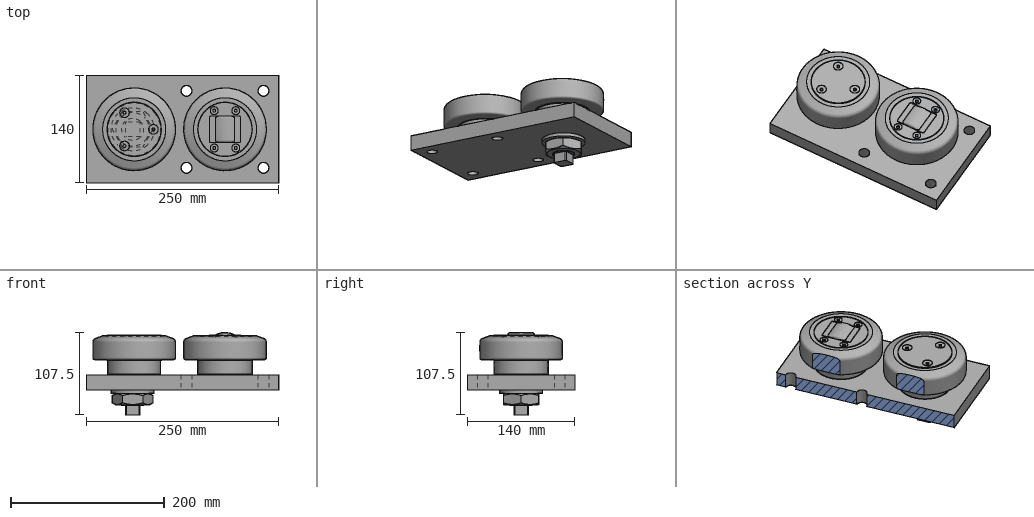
import cadquery as cq
import math

PLATE_LENGTH = 250.0
PLATE_WIDTH = 140.0
PLATE_THICKNESS = 20.0
BOLT_HOLE_DIAMETER = 13.8
BOLT_HOLE_SPACING = 100.0

LEFT_ROLLER_X = -63.0
RIGHT_ROLLER_X = 55.0
ROLLER_BOTTOM = 39.5
ROLLER_TOP = 70.8
RIM_RADIUS = 53.8
RIM_CROWN = 0.12
RIM_BOTTOM_ROUND = 2.5
RIM_TOP_ROUND_START = 62.5
CONE_OUTER_RADIUS = 50.2
CONE_OUTER_Z = 67.2
CONE_INNER_RADIUS = 41.0
LEFT_STEM_DIAMETER = 69.0
RIGHT_STEM_DIAMETER = 71.0
LEFT_SEAL_DIAMETER = 71.0
RIGHT_SEAL_DIAMETER = 70.0
SEAL_HEIGHT = 0.8
FOOT_HEIGHT = 0.8
FOOT_STEP = 0.2

CAP_DIAMETER = 70.0
CAP_SEAT_DIAMETER = 70.5
CAP_GROOVE_DEPTH = 0.8
LEFT_CAP_RISE = 0.8
SOCKET_DIAMETER = 3.8
SOCKET_DEPTH = 1.2
SCREW_SEAT_DEPTH = 0.5
LEFT_SCREW_DIAMETER = 12.5
LEFT_SCREW_COUNT = 3
LEFT_SCREW_CIRCLE_RADIUS = 25.0
RIGHT_SCREW_DIAMETER = 10.2
RIGHT_SCREW_SPACING_X = 28.0
RIGHT_SCREW_SPACING_Y = 48.5

PAD_LENGTH_X = 40.0
PAD_LENGTH_Y = 34.8
PAD_CORNER_RADIUS = 1.8
PAD_TOP = 71.5
DOME_TOP = 75.0
DOME_WIDTH = 25.0
DOME_RADIUS = 26.0
DOME_CROWN = 0.2
DOME_END_ROUND = 3.0

STUD_ECCENTRICITY = 2.0
STUD_X = LEFT_ROLLER_X - STUD_ECCENTRICITY
WASHER_DIAMETER = 56.0
WASHER_THICKNESS = 4.2
NUT_ACROSS_FLATS = 46.0
NUT_BOTTOM = -19.2
NUT_CHAMFER_ANGLE = 30.0
NUT_FACE_DIAMETER = 43.5
THREAD_DIAMETER = 28.5
THREAD_BOTTOM = -20.0
SQUARE_SIZE = 19.0
SQUARE_CHAMFER = 1.2
STUD_BOTTOM = -32.5


def cylinder(x, diameter, bottom, top):
    """Upright cylinder on the plate's centre line."""
    return cq.Workplane("XY", origin=(x, 0, bottom)).circle(diameter / 2).extrude(top - bottom)


def make_plate():
    plate = cq.Workplane("XY").box(
        PLATE_LENGTH, PLATE_WIDTH, PLATE_THICKNESS, centered=(True, True, False)
    )
    holes = (
        cq.Workplane("XY", origin=(RIGHT_ROLLER_X, 0, 0))
        .rect(BOLT_HOLE_SPACING, BOLT_HOLE_SPACING, forConstruction=True)
        .vertices()
        .circle(BOLT_HOLE_DIAMETER / 2)
        .extrude(PLATE_THICKNESS)
    )
    return plate.cut(holes)


def make_roller(x, stem_diameter, seal_diameter):
    """Crowned rim with a coned top shoulder, above a seal, a stem and a slightly narrower foot."""
    stem_bottom = PLATE_THICKNESS + FOOT_HEIGHT
    stem_top = ROLLER_BOTTOM - SEAL_HEIGHT
    bottom_edge = ROLLER_BOTTOM + RIM_BOTTOM_ROUND
    bottom_inset = RIM_BOTTOM_ROUND * (1 - math.sqrt(0.5))
    rim = (
        cq.Workplane("XZ", origin=(x, 0, 0))
        .moveTo(0, ROLLER_BOTTOM)
        .lineTo(RIM_RADIUS - RIM_BOTTOM_ROUND, ROLLER_BOTTOM)
        .threePointArc(
            (RIM_RADIUS - bottom_inset, ROLLER_BOTTOM + bottom_inset),
            (RIM_RADIUS, bottom_edge),
        )
        .threePointArc(
            (RIM_RADIUS + RIM_CROWN, (bottom_edge + RIM_TOP_ROUND_START) / 2),
            (RIM_RADIUS, RIM_TOP_ROUND_START),
        )
        .tangentArcPoint((CONE_OUTER_RADIUS, CONE_OUTER_Z), relative=False)
        .lineTo(CONE_INNER_RADIUS, ROLLER_TOP)
        .lineTo(0, ROLLER_TOP)
        .close()
        .revolve(360, (0, 0, 0), (0, 1, 0))
    )
    foot = cylinder(x, stem_diameter - 2 * FOOT_STEP, PLATE_THICKNESS, stem_bottom)
    stem = cylinder(x, stem_diameter, stem_bottom, stem_top)
    seal = cylinder(x, seal_diameter, stem_top, ROLLER_BOTTOM)
    return rim.union(seal).union(stem).union(foot)


def add_cap(roller, x, cap_top):
    """Open a shallow seat in the roller top and stand the cap in it, leaving a thin ring groove."""
    seat_bottom = ROLLER_TOP - CAP_GROOVE_DEPTH
    seat = cylinder(x, CAP_SEAT_DIAMETER, seat_bottom, ROLLER_TOP)
    cap = cylinder(x, CAP_DIAMETER, seat_bottom, cap_top)
    return roller.cut(seat).union(cap)


def cut_screws(body, points, top, head_diameter):
    """Sink a shallow round seat and a small socket at each screw."""
    seats = cq.Workplane("XY", origin=(0, 0, top)).pushPoints(points)
    seat_cut = seats.circle(head_diameter / 2).extrude(-SCREW_SEAT_DEPTH)
    socket_cut = seats.circle(SOCKET_DIAMETER / 2).extrude(-(SCREW_SEAT_DEPTH + SOCKET_DEPTH))
    return body.cut(seat_cut).cut(socket_cut)


def make_left_roller():
    cap_top = ROLLER_TOP + LEFT_CAP_RISE
    roller = make_roller(LEFT_ROLLER_X, LEFT_STEM_DIAMETER, LEFT_SEAL_DIAMETER)
    roller = add_cap(roller, LEFT_ROLLER_X, cap_top)
    angles = [2 * math.pi * i / LEFT_SCREW_COUNT for i in range(LEFT_SCREW_COUNT)]
    points = [
        (
            LEFT_ROLLER_X + LEFT_SCREW_CIRCLE_RADIUS * math.cos(angle),
            LEFT_SCREW_CIRCLE_RADIUS * math.sin(angle),
        )
        for angle in angles
    ]
    return cut_screws(roller, points, cap_top, LEFT_SCREW_DIAMETER)


def make_slide_pad(bottom):
    """Thin rounded plate carrying a dome that curves mainly across X."""
    pad = (
        cq.Workplane("XY", origin=(RIGHT_ROLLER_X, 0, bottom))
        .rect(PAD_LENGTH_X, PAD_LENGTH_Y)
        .extrude(PAD_TOP - bottom)
        .edges("|Z")
        .fillet(PAD_CORNER_RADIUS)
    )
    half_length = PAD_LENGTH_Y / 2
    shoulder_y = half_length - DOME_END_ROUND
    shoulder_radius = DOME_RADIUS - DOME_CROWN
    round_inset = DOME_END_ROUND * (1 - math.sqrt(0.5))
    drum = (
        cq.Workplane("XY", origin=(RIGHT_ROLLER_X, 0, DOME_TOP - DOME_RADIUS))
        .moveTo(0, -half_length)
        .lineTo(shoulder_radius - DOME_END_ROUND, -half_length)
        .threePointArc(
            (shoulder_radius - round_inset, -half_length + round_inset),
            (shoulder_radius, -shoulder_y),
        )
        .threePointArc((DOME_RADIUS, 0), (shoulder_radius, shoulder_y))
        .threePointArc(
            (shoulder_radius - round_inset, half_length - round_inset),
            (shoulder_radius - DOME_END_ROUND, half_length),
        )
        .lineTo(0, half_length)
        .close()
        .revolve(360, (0, 0, 0), (0, 1, 0))
    )
    dome_block = cq.Workplane("XY", origin=(RIGHT_ROLLER_X, 0, bottom)).box(
        DOME_WIDTH, PAD_LENGTH_Y, DOME_TOP - bottom, centered=(True, True, False)
    )
    return pad.union(drum.intersect(dome_block))


def make_right_roller():
    roller = make_roller(RIGHT_ROLLER_X, RIGHT_STEM_DIAMETER, RIGHT_SEAL_DIAMETER)
    roller = add_cap(roller, RIGHT_ROLLER_X, ROLLER_TOP)
    points = [
        (RIGHT_ROLLER_X + side_x * RIGHT_SCREW_SPACING_X / 2, side_y * RIGHT_SCREW_SPACING_Y / 2)
        for side_x in (-1, 1)
        for side_y in (-1, 1)
    ]
    roller = cut_screws(roller, points, ROLLER_TOP, RIGHT_SCREW_DIAMETER)
    return roller.union(make_slide_pad(ROLLER_TOP))


def make_nut():
    """Hexagon with two flats facing Y and both ends chamfered by a cone."""
    corner_radius = NUT_ACROSS_FLATS / math.sqrt(3)
    face_radius = NUT_FACE_DIAMETER / 2
    chamfer_height = (corner_radius - face_radius) * math.tan(math.radians(NUT_CHAMFER_ANGLE))
    nut_top = -WASHER_THICKNESS
    hexagon = (
        cq.Workplane("XY", origin=(STUD_X, 0, NUT_BOTTOM))
        .polygon(6, 2 * corner_radius)
        .extrude(nut_top - NUT_BOTTOM)
    )
    chamfer_envelope = (
        cq.Workplane("XZ", origin=(STUD_X, 0, 0))
        .moveTo(0, NUT_BOTTOM)
        .lineTo(face_radius, NUT_BOTTOM)
        .lineTo(corner_radius, NUT_BOTTOM + chamfer_height)
        .lineTo(corner_radius, nut_top - chamfer_height)
        .lineTo(face_radius, nut_top)
        .lineTo(0, nut_top)
        .close()
        .revolve(360, (0, 0, 0), (0, 1, 0))
    )
    return hexagon.intersect(chamfer_envelope)


def make_stud():
    """Washer, nut, thread end and square drive below the plate."""
    washer = cylinder(STUD_X, WASHER_DIAMETER, -WASHER_THICKNESS, 0)
    thread = cylinder(STUD_X, THREAD_DIAMETER, THREAD_BOTTOM, NUT_BOTTOM)
    square = (
        cq.Workplane("XY", origin=(STUD_X, 0, STUD_BOTTOM))
        .rect(SQUARE_SIZE, SQUARE_SIZE)
        .extrude(THREAD_BOTTOM - STUD_BOTTOM)
        .edges("|Z")
        .chamfer(SQUARE_CHAMFER)
    )
    return washer.union(make_nut()).union(thread).union(square)


result = make_plate().union(make_left_roller()).union(make_right_roller()).union(make_stud())